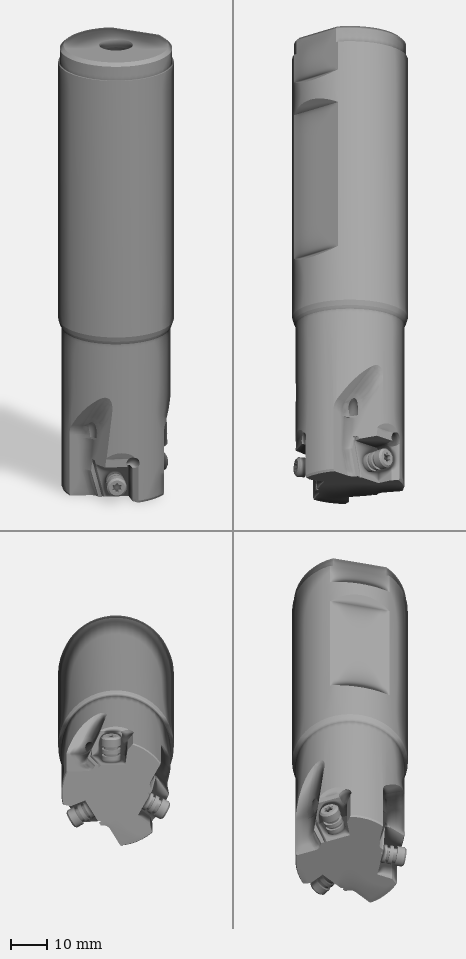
import cadquery as cq
import math


TOTAL_LENGTH = 128.6
SHANK_RADIUS = 15.88
NECK_RADIUS = 14.98
NECK_TOP = 46.7
SHOULDER_RADIUS = (SHANK_RADIUS + NECK_RADIUS) / 2
SHOULDER_TOP = 47.6
SHANK_BOTTOM = 49.0
CAP_RADIUS = 15.4
CAP_LENGTH = 4.9
CAP_CHAMFER_WIDTH = 1.0
CAP_CHAMFER_HEIGHT = 0.9
BOTTOM_CHAMFER_WIDTH = 0.3
BOTTOM_CHAMFER_HEIGHT = 0.6

FLAT_Y = 13.5
UPPER_FLAT_BOTTOM = 115.7
LOWER_FLAT_TOP = 106.2
LOWER_FLAT_BOTTOM = 64.7
FLAT_END_ANGLE = 40.0

BORE_RADIUS = 3.9
BORE_MOUTH_RADIUS = 4.6
BORE_MOUTH_DEPTH = 2.0
BORE_BOTTOM = 57.9
BORE_TIP_ANGLE = 118.0
BRANCH_RADIUS = 1.3
BRANCH_START_Y = 2.3
BRANCH_EXIT = (-8.5, 7.5, 17.4)

POCKET_COUNT = 3
OUTSIDE_X = -18.0

FLUTE_FLOOR_X = -6.5
FLUTE_FAR_Y = 18.0
FLUTE_KINK_Z = 7.6
FLUTE_KINK_Y = 8.5
FLUTE_BOTTOM_Y = 6.4
FLUTE_TOP_Z = 19.4
RAMP_ANGLE = 56.7
WALL_RISE = 0.5
WALL_LEAN = 0.1
FLOOR_FILLET = 2.2
RAMP_FILLET = 4.1
RAMP_FOOT_FILLET = 5.1
TIGHT_FILLET_TOP = 16.7

SEAT_X = -8.2
SEAT_TOP = 10.0
SEAT_SIDE_Y = -2.7
SEAT_OPEN_Y = 9.0
SEAT_TOP_RISE = 0.1
SEAT_CORNER_FILLET = 1.2
SEAT_FLARE_X = -12.5
SEAT_FLARE_Y = -3.3
SEAT_LAND_X = -14.3
SEAT_LAND_Y = -5.0

BEVEL_BOTTOM_Y = 4.0
BEVEL_LEAN = 0.25
BEVEL_WIDTH = 0.6
BEVEL_DEPTH = 0.6
BEVEL_TOP = 11.0

BROW_X = -14.3
BROW_TOP = 13.0
BROW_SLOPE = 70.0
BROW_NEAR_Y = -3.5
RELIEF_RADIUS = 1.8
RELIEF_Y = -3.3
RELIEF_Z = 11.6
RELIEF_CENTER_X = -12.9

SCREW_Y = 1.2
SCREW_Z = 4.9
SCREW_END_X = -15.2
THREAD_RADIUS = 1.7
THREAD_LENGTH = 4.5
COLLAR_RING_RADIUS = 2.6
SCREW_NECK_RADIUS = 1.9
LOWER_RING_TOP = 1.5
UPPER_RING_BOTTOM = 2.3
UPPER_RING_TOP = 3.3
HEAD_BOTTOM = 4.4
HEAD_RADIUS = 2.7
HEAD_CHAMFER = 0.5
SOCKET_DEPTH = 1.5
SOCKET_CORE_RADIUS = 1.0
SOCKET_LOBE_RADIUS = 0.4
SOCKET_LOBES = 6


def turned(shape, index):
    """Turn a shape from the -X pocket to pocket number `index`."""
    return shape.rotate((0, 0, 0), (0, 0, 1), index * 360.0 / POCKET_COUNT)


def body_blank():
    cap_bottom = TOTAL_LENGTH - CAP_LENGTH
    return (
        cq.Workplane("XZ")
        .moveTo(0, 0)
        .lineTo(NECK_RADIUS - BOTTOM_CHAMFER_WIDTH, 0)
        .lineTo(NECK_RADIUS, BOTTOM_CHAMFER_HEIGHT)
        .lineTo(NECK_RADIUS, NECK_TOP)
        .lineTo(SHOULDER_RADIUS, SHOULDER_TOP)
        .lineTo(SHANK_RADIUS, SHANK_BOTTOM)
        .lineTo(SHANK_RADIUS, cap_bottom)
        .lineTo(CAP_RADIUS, cap_bottom)
        .lineTo(CAP_RADIUS, TOTAL_LENGTH)
        .lineTo(0, TOTAL_LENGTH)
        .close()
        .revolve(360, (0, 0, 0), (0, 1, 0))
    )


def flat_cutters():
    """Two prisms that leave a raised land between the clamping flats."""
    out_y = SHANK_RADIUS + 1.3
    end_run = (out_y - FLAT_Y) * math.tan(math.radians(FLAT_END_ANGLE))
    above = TOTAL_LENGTH + 1.3
    upper = [
        (FLAT_Y, above),
        (FLAT_Y, UPPER_FLAT_BOTTOM),
        (out_y, UPPER_FLAT_BOTTOM - end_run),
        (out_y, above),
    ]
    lower = [
        (FLAT_Y, LOWER_FLAT_TOP),
        (out_y, LOWER_FLAT_TOP + end_run),
        (out_y, LOWER_FLAT_BOTTOM - end_run),
        (FLAT_Y, LOWER_FLAT_BOTTOM),
    ]
    return [
        cq.Workplane("YZ").polyline(outline).close().extrude(SHANK_RADIUS, both=True)
        for outline in (upper, lower)
    ]


def bore_cutter():
    """Coolant bore with a conical mouth and a drill-point bottom."""
    mouth_bottom = TOTAL_LENGTH - BORE_MOUTH_DEPTH
    tip_depth = BORE_RADIUS / math.tan(math.radians(BORE_TIP_ANGLE / 2))
    return (
        cq.Workplane("XZ")
        .moveTo(0, BORE_BOTTOM - tip_depth)
        .lineTo(BORE_RADIUS, BORE_BOTTOM)
        .lineTo(BORE_RADIUS, mouth_bottom)
        .lineTo(BORE_MOUTH_RADIUS, TOTAL_LENGTH)
        .lineTo(0, TOTAL_LENGTH)
        .close()
        .revolve(360, (0, 0, 0), (0, 1, 0))
    )


def branch_cutter():
    """Coolant hole from the bore bottom to the chip flute."""
    start = cq.Vector(0, BRANCH_START_Y, BORE_BOTTOM)
    path = cq.Vector(*BRANCH_EXIT) - start
    return cq.Workplane(cq.Solid.makeCylinder(BRANCH_RADIUS, path.Length, start, path))


def flute_section(x):
    """Flute cross-section in the YZ plane at one X."""
    outward = FLUTE_FLOOR_X - x
    shift = -WALL_RISE * outward
    top = FLUTE_TOP_Z + outward * math.tan(math.radians(RAMP_ANGLE))
    top_y = FLUTE_KINK_Y - WALL_LEAN * (top - FLUTE_KINK_Z) + shift
    outline = [
        (FLUTE_BOTTOM_Y + shift, 0),
        (FLUTE_KINK_Y + shift, FLUTE_KINK_Z),
        (top_y, top),
        (FLUTE_FAR_Y, top),
        (FLUTE_FAR_Y, 0),
    ]
    return cq.Wire.makePolygon([cq.Vector(x, y, z) for y, z in outline], close=True)


def flute_blank(wall_fillet):
    """Flute with rounded ramp foot and wall corners."""
    sections = [flute_section(FLUTE_FLOOR_X), flute_section(OUTSIDE_X)]
    flute = cq.Workplane(cq.Solid.makeLoft(sections, True))
    ramp_foot = (FLUTE_FLOOR_X, (FLUTE_FAR_Y + FLUTE_KINK_Y) / 2, FLUTE_TOP_Z)
    flute = flute.edges(cq.selectors.NearestToPointSelector(ramp_foot)).fillet(RAMP_FOOT_FILLET)

    outward = (FLUTE_FLOOR_X - OUTSIDE_X) / 2
    ramp_z = FLUTE_TOP_Z + outward * math.tan(math.radians(RAMP_ANGLE))
    ramp_y = FLUTE_KINK_Y - WALL_LEAN * (ramp_z - FLUTE_KINK_Z) - WALL_RISE * outward
    wall_corners = [
        (FLUTE_FLOOR_X - outward, ramp_y, ramp_z),
        (FLUTE_FLOOR_X, FLUTE_KINK_Y, (FLUTE_KINK_Z + FLUTE_TOP_Z) / 2),
        (FLUTE_FLOOR_X, (FLUTE_KINK_Y + FLUTE_BOTTOM_Y) / 2, FLUTE_KINK_Z / 2),
    ]
    edges = flute.edges(cq.selectors.NearestToPointSelector(wall_corners[0]))
    for corner in wall_corners[1:]:
        edges = edges.add(flute.edges(cq.selectors.NearestToPointSelector(corner)))
    return edges.fillet(wall_fillet)


def flute_zone(bottom, top):
    height = top - bottom
    zone = cq.Workplane("XY", origin=(0, 0, bottom))
    return zone.rect(-2 * OUTSIDE_X, 2 * FLUTE_FAR_Y).extrude(height)


def lower_flute_cutter():
    """Flute below the ramp, with a tight wall fillet."""
    return flute_blank(FLOOR_FILLET).intersect(flute_zone(0, TIGHT_FILLET_TOP))


def upper_flute_cutter():
    """Flute run-out with the ramp and a wide wall fillet."""
    return flute_blank(RAMP_FILLET).intersect(flute_zone(TIGHT_FILLET_TOP, NECK_TOP))


def seat_section(x, side_y):
    """Seat pocket cross-section in the YZ plane at one X."""
    top = SEAT_TOP + SEAT_TOP_RISE * (SEAT_X - x)
    outline = [(side_y, 0), (SEAT_OPEN_Y, 0), (SEAT_OPEN_Y, top), (side_y, top)]
    return cq.Wire.makePolygon([cq.Vector(x, y, z) for y, z in outline], close=True)


def seat_cutter():
    """Seat pocket whose side wall is steep at the seat and flares towards the surface."""
    flare_slope = (SEAT_LAND_Y - SEAT_FLARE_Y) / (SEAT_LAND_X - SEAT_FLARE_X)
    outside_y = SEAT_FLARE_Y + flare_slope * (OUTSIDE_X - SEAT_FLARE_X)
    seat = seat_section(SEAT_X, SEAT_SIDE_Y)
    flare = seat_section(SEAT_FLARE_X, SEAT_FLARE_Y)
    outside = seat_section(OUTSIDE_X, outside_y)
    corner = (
        (SEAT_X + SEAT_FLARE_X) / 2,
        (SEAT_SIDE_Y + SEAT_FLARE_Y) / 2,
        SEAT_TOP,
    )
    inner = cq.Workplane(cq.Solid.makeLoft([seat, flare], True))
    inner = inner.edges(cq.selectors.NearestToPointSelector(corner)).fillet(SEAT_CORNER_FILLET)
    return inner.union(cq.Workplane(cq.Solid.makeLoft([flare, outside], True)))


def seat_bevel_section(z):
    """Bevel cross-section in the XY plane at one height."""
    edge_y = BEVEL_BOTTOM_Y + BEVEL_LEAN * z
    far_y = edge_y + BEVEL_WIDTH
    outline = [
        (SEAT_X, edge_y),
        (SEAT_X + BEVEL_DEPTH, far_y),
        (OUTSIDE_X, far_y),
        (OUTSIDE_X, edge_y),
    ]
    return cq.Wire.makePolygon([cq.Vector(x, y, z) for x, y in outline], close=True)


def seat_bevel_cutter():
    """Leaning bevel along the open side of the seat."""
    sections = [seat_bevel_section(0), seat_bevel_section(BEVEL_TOP)]
    return cq.Workplane(cq.Solid.makeLoft(sections, True))


def brow_cutter():
    """Shallow flat on the neck surface above the seat."""
    rise = (BROW_X - OUTSIDE_X) * math.tan(math.radians(BROW_SLOPE))
    outline = [
        (BROW_X, 0),
        (BROW_X, BROW_TOP),
        (OUTSIDE_X, BROW_TOP + rise),
        (OUTSIDE_X, 0),
    ]
    width = SEAT_OPEN_Y - BROW_NEAR_Y
    return (
        cq.Workplane("XZ", origin=(0, SEAT_OPEN_Y, 0)).polyline(outline).close().extrude(width)
    )


def relief_cutter():
    """Ball-ended hole at the upper corner of the seat."""
    center = cq.Vector(RELIEF_CENTER_X, RELIEF_Y, RELIEF_Z)
    length = RELIEF_CENTER_X - OUTSIDE_X
    hole = cq.Solid.makeCylinder(RELIEF_RADIUS, length, center, cq.Vector(-1, 0, 0))
    ball = cq.Workplane("XY").sphere(RELIEF_RADIUS).translate(center)
    return ball.union(cq.Workplane(hole))


def screw_hole_cutter():
    start = cq.Vector(SEAT_X, SCREW_Y, SCREW_Z)
    hole = cq.Solid.makeCylinder(THREAD_RADIUS, THREAD_LENGTH, start, cq.Vector(1, 0, 0))
    return cq.Workplane(hole)


def make_holder():
    holder = body_blank()
    for flat in flat_cutters():
        holder = holder.cut(flat)
    holder = holder.faces(">Z").chamfer(CAP_CHAMFER_HEIGHT, CAP_CHAMFER_WIDTH)
    holder = holder.cut(bore_cutter())
    cutters = [
        branch_cutter(),
        lower_flute_cutter(),
        upper_flute_cutter(),
        seat_cutter(),
        seat_bevel_cutter(),
        brow_cutter(),
        relief_cutter(),
        screw_hole_cutter(),
    ]
    for index in range(POCKET_COUNT):
        for cutter in cutters:
            holder = holder.cut(turned(cutter, index))
    return holder


def socket_cutter(head_top):
    """Six-lobed driver socket."""
    base = cq.Workplane("XY", origin=(0, 0, head_top - SOCKET_DEPTH))
    core = base.circle(SOCKET_CORE_RADIUS).extrude(SOCKET_DEPTH)
    lobes = (
        base.polarArray(SOCKET_CORE_RADIUS, 0, 360, SOCKET_LOBES)
        .circle(SOCKET_LOBE_RADIUS)
        .extrude(SOCKET_DEPTH)
    )
    return core.union(lobes)


def make_screw():
    """Ringed screw in the -X pocket, first turned along +Z from the seat."""
    head_top = SEAT_X - SCREW_END_X
    screw = (
        cq.Workplane("XZ")
        .moveTo(0, -THREAD_LENGTH)
        .lineTo(THREAD_RADIUS, -THREAD_LENGTH)
        .lineTo(THREAD_RADIUS, 0)
        .lineTo(COLLAR_RING_RADIUS, 0)
        .lineTo(COLLAR_RING_RADIUS, LOWER_RING_TOP)
        .lineTo(SCREW_NECK_RADIUS, LOWER_RING_TOP)
        .lineTo(SCREW_NECK_RADIUS, UPPER_RING_BOTTOM)
        .lineTo(COLLAR_RING_RADIUS, UPPER_RING_BOTTOM)
        .lineTo(COLLAR_RING_RADIUS, UPPER_RING_TOP)
        .lineTo(SCREW_NECK_RADIUS, UPPER_RING_TOP)
        .lineTo(SCREW_NECK_RADIUS, HEAD_BOTTOM)
        .lineTo(HEAD_RADIUS, HEAD_BOTTOM)
        .lineTo(HEAD_RADIUS, head_top - HEAD_CHAMFER)
        .lineTo(HEAD_RADIUS - HEAD_CHAMFER, head_top)
        .lineTo(0, head_top)
        .close()
        .revolve(360, (0, 0, 0), (0, 1, 0))
        .cut(socket_cutter(head_top))
    )
    return screw.rotate((0, 0, 0), (0, 1, 0), -90).translate((SEAT_X, SCREW_Y, SCREW_Z))


holder = make_holder()
screws = [turned(make_screw(), index) for index in range(POCKET_COUNT)]
result = cq.Compound.makeCompound([holder.val(), *[screw.val() for screw in screws]])